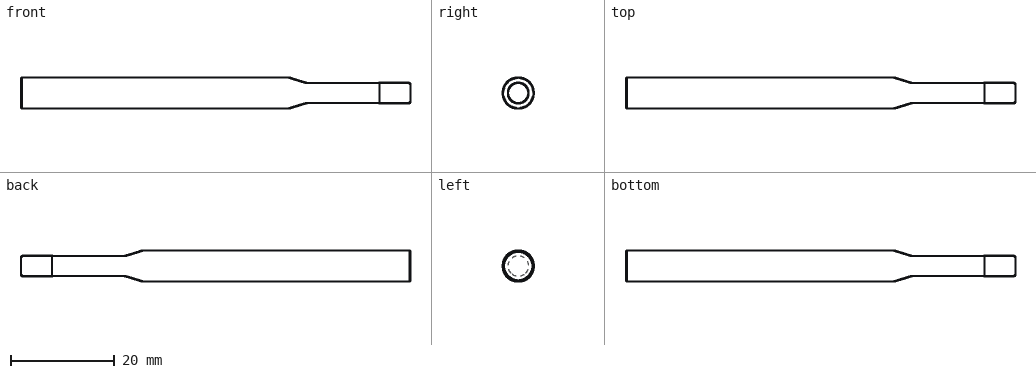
import cadquery as cq

TOTAL_LENGTH = 75.0
NECK_REACH = 20.0
HEAD_LENGTH = 6.0
CONE_LENGTH = 3.4

SHANK_DIAMETER = 6.0
NECK_DIAMETER = 3.9
HEAD_DIAMETER = 4.0

SHANK_CHAMFER = 0.25
TIP_CORNER_RADIUS = 0.5

shank_radius = SHANK_DIAMETER / 2
neck_radius = NECK_DIAMETER / 2
head_radius = HEAD_DIAMETER / 2

neck_start = TOTAL_LENGTH - NECK_REACH
head_start = TOTAL_LENGTH - HEAD_LENGTH
cone_start = neck_start - CONE_LENGTH


def make_shank():
    """Plain cylindrical shank with a chamfered rear edge."""
    shank = cq.Workplane("YZ").circle(shank_radius).extrude(cone_start)
    return shank.faces("<X").chamfer(SHANK_CHAMFER)


def make_cone_and_neck():
    """Cone reducing the shank to the neck, and the neck up to the head."""
    profile = (
        cq.Workplane("XY")
        .moveTo(cone_start, 0)
        .lineTo(cone_start, shank_radius)
        .lineTo(neck_start, neck_radius)
        .lineTo(head_start, neck_radius)
        .lineTo(head_start, 0)
        .close()
    )
    return profile.revolve(360, (0, 0, 0), (1, 0, 0))


def make_head():
    """Head, slightly larger than the neck, with a rounded tip edge."""
    head = cq.Workplane("YZ").workplane(offset=head_start).circle(head_radius).extrude(HEAD_LENGTH)
    return head.faces(">X").edges().fillet(TIP_CORNER_RADIUS)


result = make_shank().union(make_cone_and_neck()).union(make_head())